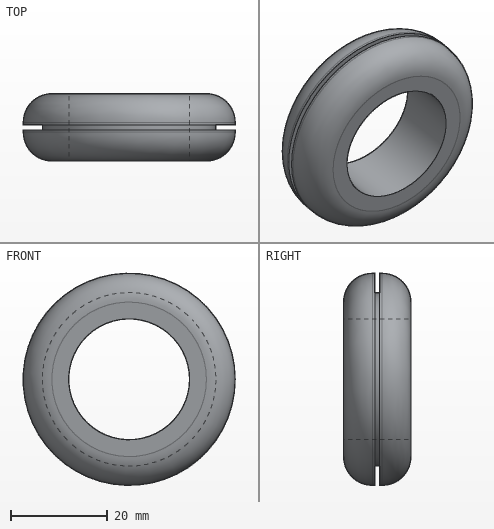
import cadquery as cq

outer_diameter = 44.0
width = 14.0
bore_diameter = 25.0
edge_radius = 6.0

groove_diameter = 36.0
groove_width = 1.0


def cylinder_along_y(diameter, length):
    """Solid cylinder on the Y axis, centred on the origin."""
    start_plane = cq.Workplane("XZ", origin=(0, length / 2, 0))
    return start_plane.circle(diameter / 2).extrude(length)


body = cylinder_along_y(outer_diameter, width).edges("%CIRCLE").fillet(edge_radius)

groove = cylinder_along_y(outer_diameter, groove_width).cut(
    cylinder_along_y(groove_diameter, groove_width)
)

bore = cylinder_along_y(bore_diameter, width)

result = body.cut(groove).cut(bore)